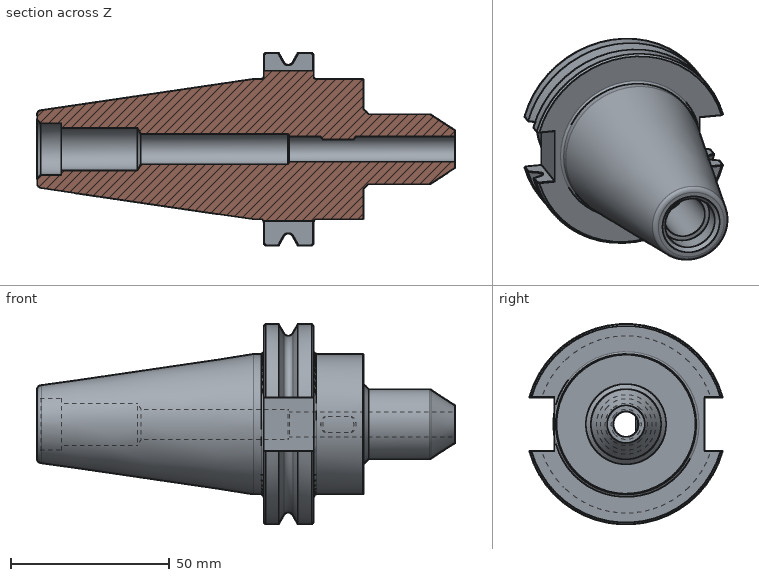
import cadquery as cq
import math

total_length = 132.2
gauge_x = 68.4
flange_start = 71.7
flange_end = 87.5
nose_end = 103.3
tip_cone_start = 124.3

gauge_radius = 44.4 / 2
flange_radius = 63.5 / 2
pilot_radius = 22.2 / 2
tip_radius = 11.9 / 2

small_end_radius = 24.3 / 2
small_end_round = 1.6

flange_root_radius = 0.8
flange_edge_chamfer = 0.7
nose_chamfer = 0.3
pilot_root_chamfer = 1.6
tip_cone_round = 0.7

groove_center = 79.5
groove_depth = 3.7
groove_floor_radius = 1.6
groove_wall_angle = math.radians(30)
groove_floor_half_width = groove_floor_radius * math.cos(groove_wall_angle)
groove_floor_rise = groove_floor_radius * (1 - math.sin(groove_wall_angle))
groove_mouth_half_width = groove_floor_half_width + (
    (groove_depth - groove_floor_rise) * math.tan(groove_wall_angle)
)

slot_width = 16.7
slot_edge_chamfer = 0.3
slot_floor_plus_y = 24.9
slot_floor_minus_y = 22.7

entry_radius = 18.8 / 2
counterbore_radius = 16.3 / 2
thread_radius = 13.4 / 2
relief_radius = 9.5 / 2
through_radius = 7.9 / 2
entry_depth = entry_radius - counterbore_radius
counterbore_depth = 7.7
thread_depth = 31.7
drill_half_angle = math.radians(59)
thread_cone_end = thread_depth + (thread_radius - relief_radius) / math.tan(drill_half_angle)
relief_end = 79.3
through_start = relief_end + (relief_radius - through_radius) / math.tan(drill_half_angle)

screw_x = 95.2
screw_radius = 11.1 / 2
screw_tip_y = 3.0
screw_back_y = 11.1
screw_tip_chamfer = 0.7

pick_tolerance = 0.01


def revolve_about_x(profile):
    """Close a half profile that starts and ends on the X axis and turn it."""
    return profile.close().revolve(360, (0, 0, 0), (1, 0, 0))


def circle_at(x, radius):
    """Selector for the circular edge centred on the axis at station x."""
    reach = radius + pick_tolerance
    return cq.selectors.BoxSelector(
        (x - pick_tolerance, -reach, -reach),
        (x + pick_tolerance, reach, reach),
        boundingbox=True,
    )


def make_body():
    """Shank, flange, nose and pilot turned as one profile, then rounded at the steps."""
    floor_radius = flange_radius - groove_depth
    body = revolve_about_x(
        cq.Workplane("XY")
        .lineTo(0, small_end_radius)
        .lineTo(gauge_x, gauge_radius)
        .lineTo(flange_start, gauge_radius)
        .lineTo(flange_start, flange_radius - flange_edge_chamfer)
        .lineTo(flange_start + flange_edge_chamfer, flange_radius)
        .lineTo(groove_center - groove_mouth_half_width, flange_radius)
        .lineTo(groove_center - groove_floor_half_width, floor_radius + groove_floor_rise)
        .threePointArc(
            (groove_center, floor_radius),
            (groove_center + groove_floor_half_width, floor_radius + groove_floor_rise),
        )
        .lineTo(groove_center + groove_mouth_half_width, flange_radius)
        .lineTo(flange_end - flange_edge_chamfer, flange_radius)
        .lineTo(flange_end, flange_radius - flange_edge_chamfer)
        .lineTo(flange_end, gauge_radius)
        .lineTo(nose_end - nose_chamfer, gauge_radius)
        .lineTo(nose_end, gauge_radius - nose_chamfer)
        .lineTo(nose_end, pilot_radius)
        .lineTo(tip_cone_start, pilot_radius)
        .lineTo(total_length, tip_radius)
        .lineTo(total_length, 0)
    )

    body = body.edges(circle_at(0, small_end_radius)).fillet(small_end_round)
    for flange_face in (flange_start, flange_end):
        body = body.edges(circle_at(flange_face, gauge_radius)).fillet(flange_root_radius)
    body = body.edges(circle_at(nose_end, pilot_radius)).chamfer(pilot_root_chamfer)
    return body.edges(circle_at(tip_cone_start, pilot_radius)).fillet(tip_cone_round)


def make_bore():
    """Stepped hole along the whole axis, narrowed by drill cones."""
    return revolve_about_x(
        cq.Workplane("XY")
        .lineTo(0, entry_radius)
        .lineTo(entry_depth, counterbore_radius)
        .lineTo(counterbore_depth, counterbore_radius)
        .lineTo(counterbore_depth, thread_radius)
        .lineTo(thread_depth, thread_radius)
        .lineTo(thread_cone_end, relief_radius)
        .lineTo(relief_end, relief_radius)
        .lineTo(through_start, through_radius)
        .lineTo(total_length, through_radius)
        .lineTo(total_length, 0)
    )


def make_slot(side, floor):
    """Drive slot open to the outside; side is +1 or -1 along Y."""
    depth = flange_radius - floor
    return cq.Workplane("XY").box(flange_end - flange_start, depth, slot_width).translate(
        ((flange_start + flange_end) / 2, side * (floor + depth / 2), 0)
    )


def make_screw():
    """Chamfered screw tip, its back end buried in the nose wall."""
    return (
        cq.Workplane("XZ", origin=(screw_x, screw_back_y, 0))
        .circle(screw_radius)
        .extrude(screw_back_y - screw_tip_y)
        .faces("<Y")
        .chamfer(screw_tip_chamfer)
    )


def chamfer_slot_walls(part):
    """Break the outer edges of the slot walls, leaving the slot floors sharp."""
    walls = [
        face for face in part.faces("|Z").vals()
        if abs(abs(face.Center().z) - slot_width / 2) < pick_tolerance
    ]
    outer_edges = []
    for face in walls:
        floor = slot_floor_plus_y if face.Center().y > 0 else slot_floor_minus_y
        outer_edges += [e for e in face.Edges() if abs(abs(e.Center().y) - floor) > pick_tolerance]
    return part.newObject(outer_edges).chamfer(slot_edge_chamfer)


slotted = (
    make_body()
    .cut(make_slot(1, slot_floor_plus_y))
    .cut(make_slot(-1, slot_floor_minus_y))
)
result = chamfer_slot_walls(slotted).cut(make_bore()).union(make_screw())